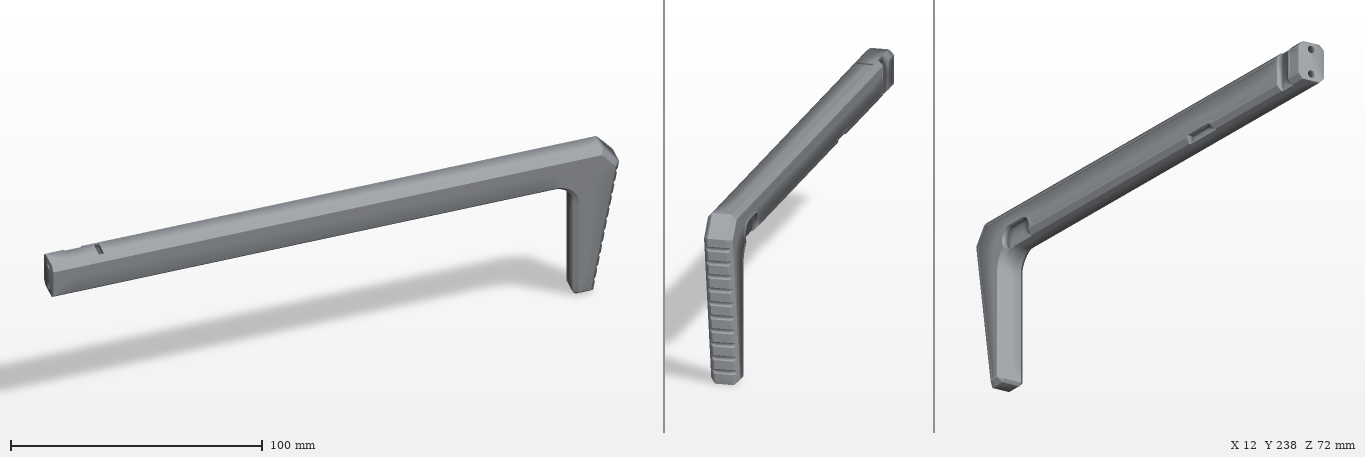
import cadquery as cq

width = 12.0
length = 238.0
height = 72.0
side = -width / 2

bar_height = 16.2
arm_front = 218.5
arm_back_foot = 227.0
crown_run = 7.0
crown_drop = 8.5
crown_round = 2.5
inner_radius = 7.9
toe_chamfer = 1.2
edge_chamfer = 2.0

groove_count = 10
groove_radius = 1.07
groove_pitch = 6.0
first_groove_z = -13.0

pocket_depth = 2.5

notch_start = 7.9
notch_end = 15.7

slot_center_y = 207.2
slot_center_z = -12.5
slot_length = 19.5
slot_radius = 4.8

relief_center_y = 73.5
relief_top_length = 15.5
relief_bottom_length = 19.0
relief_height = 2.9

top_pocket_start = 20.0
top_pocket_end = 22.1
top_pocket_width = 6.7
top_pocket_depth = 2.0

hole_diameter = 3.0
hole_inset = 2.9
hole_depth = 10.0

panel_rim = 1.07
panel_depth = 0.2


def side_plane():
    """Plane on the worked side face: its x is Y, its y is Z and its normal is +X."""
    return cq.Workplane("YZ", origin=(side, 0, 0))


def make_body():
    body = (
        side_plane()
        .polyline([
            (0, 0),
            (length - crown_run, 0),
            (length, -crown_drop),
            (arm_back_foot, -height),
            (arm_front + toe_chamfer, -height),
            (arm_front, -height + toe_chamfer),
            (arm_front, -bar_height),
            (0, -bar_height),
        ])
        .close()
        .extrude(width)
    )
    inner_corner = cq.selectors.NearestToPointSelector((0, arm_front, -bar_height))
    body = body.edges(inner_corner).fillet(inner_radius)
    body = body.faces("<X or >X").edges("not <Y").chamfer(edge_chamfer)
    crown = cq.selectors.NearestToPointSelector((0, length - crown_run, 0))
    return body.edges(crown).fillet(crown_round)


def make_grooves():
    back_lean = (length - arm_back_foot) / (height - crown_drop)
    points = []
    for index in range(groove_count):
        z = first_groove_z - index * groove_pitch
        points.append((length + back_lean * (z + crown_drop), z))
    return side_plane().pushPoints(points).circle(groove_radius).extrude(width)


def make_notch():
    return (
        side_plane()
        .moveTo(notch_start, -bar_height)
        .lineTo(notch_end, -bar_height)
        .lineTo(notch_end, 0)
        .lineTo(notch_start, 0)
        .close()
        .extrude(pocket_depth)
    )


def make_slot():
    return (
        side_plane()
        .center(slot_center_y, slot_center_z)
        .slot2D(slot_length, 2 * slot_radius)
        .extrude(pocket_depth)
    )


def make_relief():
    return (
        side_plane()
        .center(relief_center_y, -bar_height)
        .moveTo(-relief_bottom_length / 2, 0)
        .lineTo(relief_bottom_length / 2, 0)
        .lineTo(relief_top_length / 2, relief_height)
        .lineTo(-relief_top_length / 2, relief_height)
        .close()
        .extrude(pocket_depth)
    )


def make_top_pocket():
    pocket_length = top_pocket_end - top_pocket_start
    return (
        cq.Workplane("XY")
        .center(0, (top_pocket_start + top_pocket_end) / 2)
        .rect(top_pocket_width, pocket_length)
        .extrude(-top_pocket_depth)
    )


def make_holes():
    heights = [-hole_inset, -bar_height + hole_inset]
    return (
        cq.Workplane("XZ")
        .pushPoints([(0, z) for z in heights])
        .circle(hole_diameter / 2)
        .extrude(-hole_depth)
    )


def sink_panels(body):
    """Sink every remaining piece of the side face, leaving a narrow rim around it."""
    for face in body.faces("<X").vals():
        outline = face.outerWire().offset2D(-panel_rim, "intersection")[0]
        panel = cq.Solid.extrudeLinear(outline, [], cq.Vector(panel_depth, 0, 0))
        body = body.cut(cq.Workplane(panel))
    return body


body = make_body()
for make_cutter in (make_grooves, make_notch, make_slot, make_relief, make_top_pocket, make_holes):
    body = body.cut(make_cutter())

result = sink_panels(body)